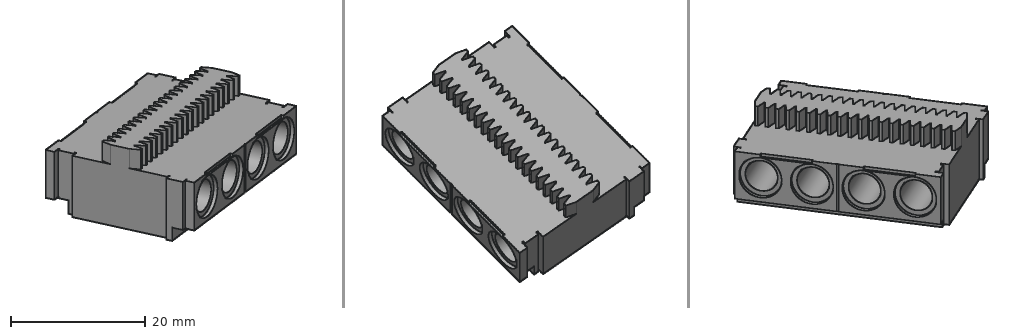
import cadquery as cq

width = 25.2
total_length = 33.2
tab_projection = 0.6
length = total_length - 2 * tab_projection
total_height = 13.2
rack_height = 3.2
body_height = total_height - rack_height
step_height = 2.2
lower_width = 18.33

joint_x = 9.6
tab_width = 2.85
notch_width = 3.02
post_width = 2.55
tab_slit_depth = 0.5
notch_depth = 0.8
notch_slit_depth = 1.25

tooth_count = 20
rack_tip_width = 6.47
rack_root_width = 3.25
tooth_tip_flat = 0.45
tooth_root_flat = 0.15
tooth_pitch = (length + tooth_root_flat) / tooth_count

hole_count = 4
hole_pitch = length / hole_count
hole_diameter = 5.0
bore_diameter = 6.6
bore_depth = 0.65
hole_z = 6.2

ledge_depth = 0.4
ledge_height = 0.5
groove_width = 0.33
groove_depth = 0.1


def box(x_size, y_size, z_size, x, y, z):
    """Box centred on (x, y) with its bottom at z."""
    block = cq.Workplane("XY").box(x_size, y_size, z_size, centered=(True, True, False))
    return block.translate((x, y, z))


def end_block(block_width, y_inner, y_outer, x):
    """Full-height block between two distances from the middle, towards the +Y end."""
    return box(block_width, y_outer - y_inner, body_height, x, (y_inner + y_outer) / 2, 0)


def make_joints(body):
    """Cut the slits and notch, and add the tab, at the +Y end."""
    end = length / 2
    body = body.cut(end_block(notch_width, end - tab_slit_depth, end, -joint_x))
    body = body.union(end_block(tab_width, end - tab_slit_depth, end + tab_projection, -joint_x))
    body = body.cut(end_block(notch_width, end - notch_slit_depth, end, joint_x))
    return body.union(end_block(post_width, end - notch_slit_depth, end - notch_depth, joint_x))


def make_rack():
    """Extrude the rack outline: flat-topped teeth with narrow flat roots on both long sides."""
    root_x = rack_root_width / 2
    tip_x = rack_tip_width / 2
    flank = (tooth_pitch - tooth_tip_flat - tooth_root_flat) / 2
    side = []
    for i in range(tooth_count):
        start = -length / 2 + i * tooth_pitch
        side += [
            (root_x, start),
            (tip_x, start + flank),
            (tip_x, start + flank + tooth_tip_flat),
            (root_x, start + 2 * flank + tooth_tip_flat),
        ]
    opposite_side = [(-x, -y) for x, y in side]
    outline = cq.Workplane("XY").workplane(offset=body_height).polyline(side + opposite_side).close()
    return outline.extrude(rack_height)


def cross_cylinder(diameter, depth, x, y):
    """Cylinder at hole height, running along +X from (x, y)."""
    return cq.Workplane("YZ", origin=(x, y, hole_z)).circle(diameter / 2).extrude(depth)


body = box(width, length, body_height, 0, 0, 0)
for _ in range(2):
    body = make_joints(body).rotate((0, 0, 0), (0, 0, 1), 180)

step_width = (width - lower_width) / 2
for side in (-1, 1):
    step_x = side * (width - step_width) / 2
    body = body.cut(box(step_width, total_length, step_height, step_x, 0, 0))

    groove_x = side * (width - groove_depth) / 2
    body = body.cut(box(groove_depth, groove_width, body_height, groove_x, 0, 0))

    ledge_x = side * (width - ledge_depth) / 2
    for y in (-hole_pitch, hole_pitch):
        body = body.cut(box(ledge_depth, hole_pitch, ledge_height, ledge_x, y, body_height - ledge_height))

for i in range(hole_count):
    y = (i - (hole_count - 1) / 2) * hole_pitch
    body = body.cut(cross_cylinder(hole_diameter, width, -width / 2, y))
    for x in (-width / 2, width / 2 - bore_depth):
        body = body.cut(cross_cylinder(bore_diameter, bore_depth, x, y))

result = body.union(make_rack())